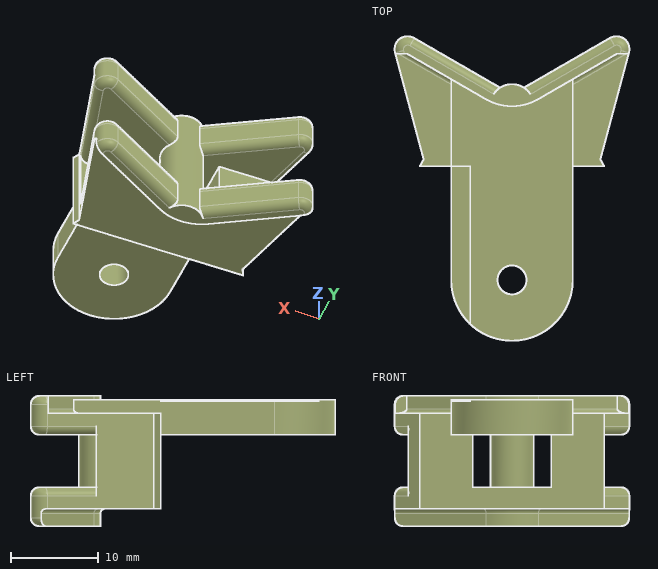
import cadquery as cq
import math


total_height = 15.0
jaw_height = 4.5
rib_height = 2.0
slot_bottom = jaw_height
slot_top = total_height - jaw_height
web_bottom = rib_height
web_top = total_height - rib_height

arm_angle = math.radians(30)
arm_slope = math.tan(arm_angle)
tip_radius = 1.5
tip_x = 12.0
tip_y = 26.5
rib_front_radius = 6.0
rib_front_y = 19.95
tip_flat_y = 26.0
jaw_fillet = 1.0
rib_root_fillet = 0.5

side_angle = math.radians(15)
web_front_y = 13.05
flare_y = 13.85
flare_x = 10.6

pin_radius = 2.5
pin_y = 20.0
window_width = 9.0
left_wall_back_y = 20.45
right_wall_back_y = 15.0

tongue_radius = 7.0
tongue_top = 14.55
hole_diameter = 3.3
label_width = 2.2
label_depth = 0.2

rear_tangent = (tip_x - tip_radius * math.sin(arm_angle), tip_y + tip_radius * math.cos(arm_angle))
tip_middle = (tip_x + tip_radius * math.cos(arm_angle), tip_y + tip_radius * math.sin(arm_angle))
side_tangent = (tip_x + tip_radius * math.cos(side_angle), tip_y - tip_radius * math.sin(side_angle))
rear_apex_y = rear_tangent[1] - rear_tangent[0] * arm_slope
waist_x = side_tangent[0] - (side_tangent[1] - flare_y) * math.tan(side_angle)
front_x = side_tangent[0] - (side_tangent[1] - web_front_y) * math.tan(side_angle)

arc_end_x = rib_front_radius * math.sin(arm_angle)
arc_end_y = rib_front_y + rib_front_radius * (1 - math.cos(arm_angle))
tongue_end_y = arc_end_y + (tongue_radius - arc_end_x) * arm_slope
reach = 20.0
margin = 1.0


def mirrored(point):
    return (-point[0], point[1])


def clamp_outline(z, front_points):
    """V-backed outline whose right front corner runs through front_points."""
    sketch = cq.Workplane("XY", origin=(0, 0, z)).moveTo(0, rear_apex_y).lineTo(*rear_tangent)
    sketch = sketch.threePointArc(tip_middle, side_tangent)
    for point in front_points:
        sketch = sketch.lineTo(*point)
    for point in reversed(front_points):
        sketch = sketch.lineTo(*mirrored(point))
    sketch = sketch.lineTo(*mirrored(side_tangent))
    return sketch.threePointArc(mirrored(tip_middle), mirrored(rear_tangent)).close()


def make_jaw(z):
    """One jaw plate, rounded along its back, tips and sides."""
    plate = clamp_outline(z, [(front_x, web_front_y)]).extrude(jaw_height)
    behind_front = cq.selectors.BoxSelector(
        (-reach, web_front_y + margin, z - margin),
        (reach, tip_y + reach, z + jaw_height + margin),
    )
    return plate.edges("not |Z").edges(behind_front).fillet(jaw_fillet)


def span_block(x_min, x_max, y_min, y_max, z_min=0, z_max=total_height):
    """Block between the given limits."""
    block = cq.Workplane("XY").box(x_max - x_min, y_max - y_min, z_max - z_min, centered=False)
    return block.translate((x_min, y_min, z_min))


def make_walls():
    """Flared front joining the jaws: a deep wall at -X, a thin one at +X, a window between."""
    web = clamp_outline(web_bottom, [(waist_x, flare_y), (flare_x, web_front_y)])
    web = web.extrude(web_top - web_bottom)
    half_window = window_width / 2
    left_wall = span_block(-reach, -half_window, 0, left_wall_back_y)
    front_wall = span_block(-half_window, reach, 0, right_wall_back_y)
    window = span_block(-half_window, half_window, 0, right_wall_back_y, slot_bottom, slot_top)
    return web.intersect(left_wall.union(front_wall)).cut(window)


def rib_front_cutter(z, root_face):
    """Block ahead of the rib fronts, with the rib root rounded on its root_face side."""
    end_y = arc_end_y + (reach - arc_end_x) * arm_slope
    block = (
        cq.Workplane("XY", origin=(0, 0, z))
        .moveTo(-reach, 0)
        .lineTo(reach, 0)
        .lineTo(reach, end_y)
        .lineTo(arc_end_x, arc_end_y)
        .threePointArc((0, rib_front_y), (-arc_end_x, arc_end_y))
        .lineTo(-reach, end_y)
        .close()
        .extrude(rib_height)
    )
    rib_side = cq.selectors.BoxSelector(
        (-reach + margin, margin, z - margin),
        (reach - margin, end_y, z + rib_height + margin),
    )
    return block.faces(root_face).edges(rib_side).fillet(rib_root_fillet)


def make_tongue():
    """Round-ended tongue reaching back to the rib front, with its hole and label step."""
    thickness = tongue_top - slot_top
    plate = (
        cq.Workplane("XY", origin=(0, 0, slot_top))
        .moveTo(-tongue_radius, 0)
        .threePointArc((0, -tongue_radius), (tongue_radius, 0))
        .lineTo(tongue_radius, tongue_end_y)
        .lineTo(arc_end_x, arc_end_y)
        .threePointArc((0, rib_front_y), (-arc_end_x, arc_end_y))
        .lineTo(-tongue_radius, tongue_end_y)
        .close()
        .extrude(thickness)
    )
    hole = cq.Workplane("XY", origin=(0, 0, slot_top)).circle(hole_diameter / 2).extrude(thickness)
    label = span_block(
        -tongue_radius,
        label_width - tongue_radius,
        -tongue_radius,
        web_front_y,
        tongue_top - label_depth,
        tongue_top,
    )
    return plate.cut(hole).cut(label)


def make_pin():
    """Pin across the slot, running through both ribs behind their front faces."""
    return cq.Workplane("XY").center(0, pin_y).circle(pin_radius).extrude(total_height)


clamp = make_jaw(0).union(make_jaw(slot_top)).union(make_walls()).union(make_pin())
lower_cutter = rib_front_cutter(0, ">Z")
upper_cutter = rib_front_cutter(web_top, "<Z").intersect(span_block(-reach, reach, 0, tip_flat_y))
result = clamp.cut(lower_cutter).cut(upper_cutter).union(make_tongue())